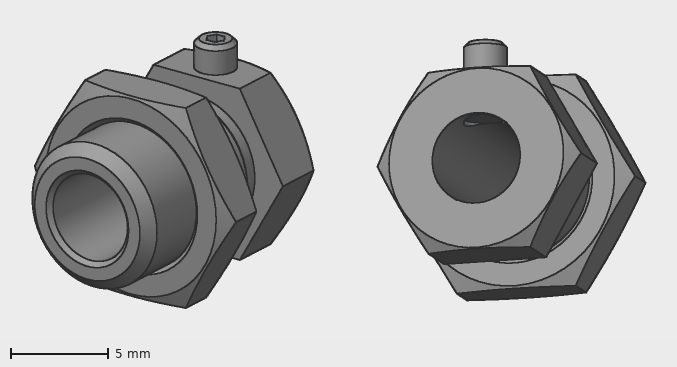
import cadquery as cq

total_length = 12.7
nut_corners = 12.83
head_corners = 11.0
head_length = 3.2
head_face_radius = 4.71
head_chamfer_depth = 0.51

thread_radius = 3.98
nose_chamfer = 0.63
neck_radius = 3.71
neck_length = 0.75
shoulder_chamfer = thread_radius - neck_radius
bore_radius = 2.37
bore_chamfer = 0.26

nut_front = 3.8
nut_thickness = 2.54
nut_face_radius = 5.43
nut_chamfer_depth = 0.38
nut_bore_chamfer = 0.26

screw_radius = 1.12
screw_chamfer = 0.26
screw_top = 6.35
screw_bottom = bore_radius
socket_corners = 1.04
socket_depth = 0.77

head_front = total_length - head_length
neck_front = head_front - neck_length
screw_y = total_length - 1.54


def revolve_about_y(points):
    """Turn a closed (radius, y) outline around the Y axis."""
    return cq.Workplane("XY").polyline(points).close().revolve(360, (0, 0), (0, 1))


def hex_prism(corners, front, length):
    """Hexagonal prism along Y, with two corners in the X direction."""
    back_plane = cq.Workplane("XZ", origin=(0, front + length, 0))
    return back_plane.polygon(6, corners).extrude(length)


def chamfer_envelope(corners, face_radius, depth, front, length, chamfer_front):
    """Turned blank whose conical ends trim the corners of a hexagon."""
    corner_radius = corners / 2
    clearance = 0.13
    outer_radius = corner_radius + clearance
    outer_depth = depth * (outer_radius - face_radius) / (corner_radius - face_radius)
    back = front + length
    if chamfer_front:
        front_points = [(face_radius, front), (outer_radius, front + outer_depth)]
    else:
        front_points = [(outer_radius, front)]
    back_points = [(outer_radius, back - outer_depth), (face_radius, back)]
    return revolve_about_y([(0, front), *front_points, *back_points, (0, back)])


def screw_cylinder(bottom):
    """Upright cylinder on the screw axis, from the given height to the screw top."""
    plane = cq.Workplane("XY", origin=(0, screw_y, bottom))
    return plane.circle(screw_radius).extrude(screw_top - bottom)


def make_fitting():
    """Hexagonal head with a neck, a threaded barrel and a through bore."""
    head = hex_prism(head_corners, head_front, head_length).intersect(
        chamfer_envelope(
            head_corners, head_face_radius, head_chamfer_depth, head_front, head_length, False
        )
    )
    barrel = revolve_about_y([
        (0, 0),
        (thread_radius - nose_chamfer, 0),
        (thread_radius, nose_chamfer),
        (thread_radius, neck_front - shoulder_chamfer),
        (neck_radius, neck_front),
        (neck_radius, head_front),
        (0, head_front),
    ])
    bore = revolve_about_y([
        (0, 0),
        (bore_radius + bore_chamfer, 0),
        (bore_radius, bore_chamfer),
        (bore_radius, total_length),
        (0, total_length),
    ])
    screw_hole = screw_cylinder(0)
    return head.union(barrel).cut(bore).cut(screw_hole)


def make_nut():
    """Hexagonal nut, chamfered on both faces and at both ends of its hole."""
    nut_back = nut_front + nut_thickness
    envelope = chamfer_envelope(
        nut_corners, nut_face_radius, nut_chamfer_depth, nut_front, nut_thickness, True
    )
    hole = revolve_about_y([
        (0, nut_front),
        (thread_radius + nut_bore_chamfer, nut_front),
        (thread_radius, nut_front + nut_bore_chamfer),
        (thread_radius, nut_back - nut_bore_chamfer),
        (thread_radius + nut_bore_chamfer, nut_back),
        (0, nut_back),
    ])
    return hex_prism(nut_corners, nut_front, nut_thickness).intersect(envelope).cut(hole)


def make_set_screw():
    """Set screw standing in the top flat of the head, with a hexagonal socket."""
    screw = screw_cylinder(screw_bottom).faces(">Z").chamfer(screw_chamfer)
    socket_plane = cq.Workplane("XY", origin=(0, screw_y, screw_top - socket_depth))
    socket = socket_plane.polygon(6, socket_corners).extrude(socket_depth)
    return screw.cut(socket)


fitting = make_fitting()
nut = make_nut()
set_screw = make_set_screw()

result = cq.Compound.makeCompound([fitting.val(), nut.val(), set_screw.val()])